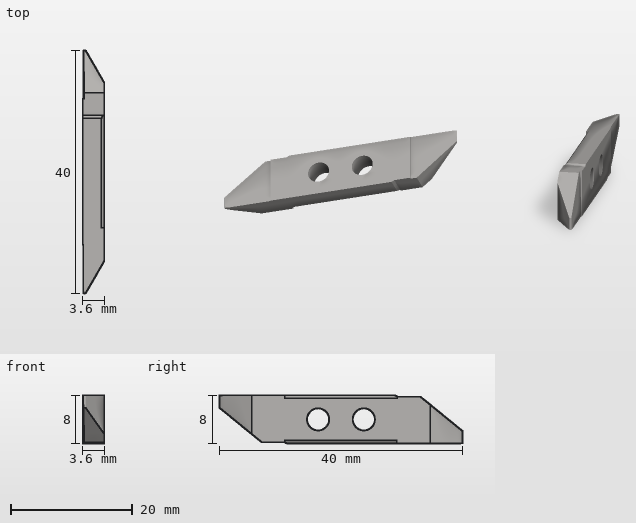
import cadquery as cq
import math

length = 40.0
width = 3.6
height = 8.0
half_length = length / 2
half_width = width / 2
half_height = height / 2

tip_height = 2.1
slope_start = 13.05
ledge_drop = 0.25
ramp_outer = 9.3
ramp_inner = 8.8

bevel_angle = 30.0
bevel_start = 14.65
nose_bevel_radius = 0.3
nose_flank_radius = 0.2

relief_start = 12.0
relief_at_tip_edge = 0.1
relief_at_far_edge = 0.3

rake_length = 0.95
rake_drop = 0.06

edge_bevel_width = 0.5
edge_bevel_height = 0.55
edge_bevel_end = 9.2

hole_diameter = 3.6
hole_spacing = 7.5


def half_turn(shape):
    """Return the matching feature at the opposite end."""
    return shape.rotate((0, 0, 0), (1, 0, 0), 180)


def side_body():
    ledge = half_height - ledge_drop
    front_half = [
        (-ramp_inner, -half_height),
        (-ramp_outer, -ledge),
        (-slope_start, -ledge),
        (-half_length, half_height - tip_height),
        (-half_length, half_height),
    ]
    back_half = [(-y, -z) for y, z in front_half]
    profile = cq.Workplane("YZ").polyline(front_half + back_half).close()
    return profile.extrude(half_width, both=True)


def plan_body():
    flank_x = -half_width + relief_at_tip_edge
    nose_x = half_width - (half_length - bevel_start) * math.tan(math.radians(bevel_angle))
    plan = [
        (-half_width, 0),
        (-half_width, -relief_start),
        (flank_x, -relief_start),
        (flank_x, -half_length),
        (nose_x, -half_length),
        (half_width, -bevel_start),
        (half_width, 0),
    ]
    front = cq.Workplane("XY").polyline(plan).close().extrude(half_height, both=True)
    for corner_x, radius in ((nose_x, nose_bevel_radius), (flank_x, nose_flank_radius)):
        corner = cq.selectors.NearestToPointSelector((corner_x, -half_length, 0))
        front = front.edges(corner).fillet(radius)
    return front.union(half_turn(front))


def flank_relief():
    section = [
        (-width, half_height),
        (-half_width + relief_at_tip_edge, half_height),
        (-half_width + relief_at_far_edge, -half_height),
        (-width, -half_height),
    ]
    cutter = cq.Workplane("XZ", origin=(0, -relief_start, 0)).polyline(section).close()
    return cutter.extrude(half_length - relief_start)


def tip_rake():
    section = [
        (-half_length + rake_length, half_height),
        (-half_length, half_height),
        (-half_length, half_height - rake_drop),
    ]
    return cq.Workplane("YZ").polyline(section).close().extrude(half_width, both=True)


def edge_bevel():
    """Material outside the bevelled edge, running from the flat end to the ramp."""
    section = (
        cq.Workplane("XZ", origin=(0, -edge_bevel_end, 0))
        .moveTo(half_width - edge_bevel_width, half_height)
        .lineTo(half_width, half_height - edge_bevel_height)
        .lineTo(half_width, half_height)
        .close()
    )
    return section.extrude(-(edge_bevel_end + ramp_outer))


result = side_body().intersect(plan_body())
for cutter in (flank_relief(), tip_rake(), edge_bevel()):
    result = result.cut(cutter).cut(half_turn(cutter))

holes = (
    cq.Workplane("YZ")
    .pushPoints([(-hole_spacing / 2, 0), (hole_spacing / 2, 0)])
    .circle(hole_diameter / 2)
    .extrude(half_width, both=True)
)
result = result.cut(holes)